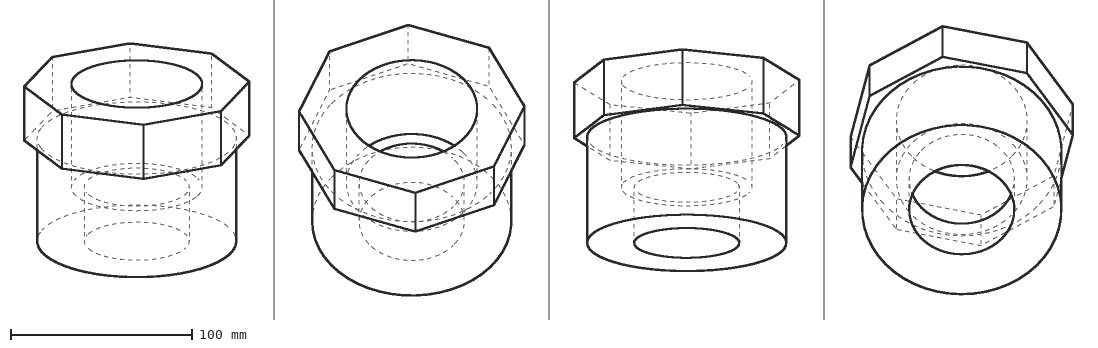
import cadquery as cq
import math

total_height = 93.0
head_height = 32.0
head_across_flats = 115.0
head_sides = 8
body_diameter = 110.0
socket_diameter = 72.2
bore_diameter = 58.0
socket_depth = 61.0

body_height = total_height - head_height
half_side_angle = 180.0 / head_sides
head_across_corners = head_across_flats / math.cos(math.radians(half_side_angle))


def make_body():
    """Plain cylindrical spigot standing on Z = 0."""
    return cq.Workplane("XY").circle(body_diameter / 2).extrude(body_height)


def make_head():
    """Octagonal head on top of the spigot, with flats facing X and Y."""
    octagon = cq.Workplane("XY").polygon(head_sides, head_across_corners).extrude(head_height)
    flats_on_axes = octagon.rotate((0, 0, 0), (0, 0, 1), half_side_angle)
    return flats_on_axes.translate((0, 0, body_height))


def make_passage():
    """Through bore, widened from the top into a socket with a flat shoulder."""
    bore = cq.Workplane("XY").circle(bore_diameter / 2).extrude(total_height)
    shoulder_plane = cq.Workplane("XY").workplane(offset=total_height - socket_depth)
    socket = shoulder_plane.circle(socket_diameter / 2).extrude(socket_depth)
    return bore.union(socket)


result = make_body().union(make_head()).cut(make_passage())